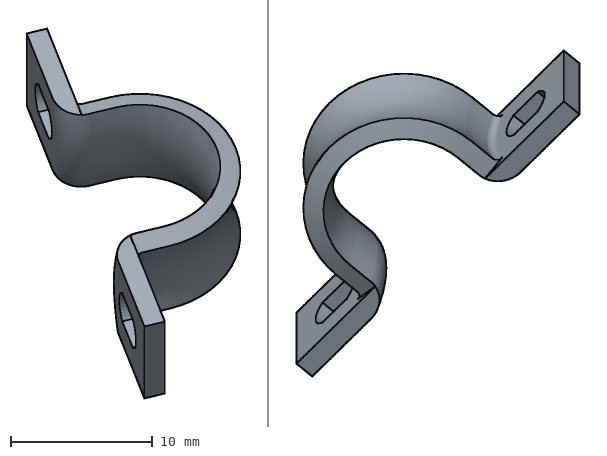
import cadquery as cq
import math

length = 28.0
strip_width = 8.0
thickness = 1.5
waist_radius = 4.98
rim_radius = 5.68
ring_center_y = 4.0
inside_bend_radius = 0.5
outside_bend_radius = inside_bend_radius + thickness
hole_offset = 10.0
hole_diameter = 4.0
hole_height = 3.1

half_width = strip_width / 2
flare = rim_radius - waist_radius
bulge_radius = (half_width**2 + flare**2) / (2 * flare)
bulge_center_x = waist_radius + bulge_radius
rim_angle = math.asin(half_width / bulge_radius)


def bulge_point(radius, angle):
    """Point in XZ on an arc about the bulge centre, with the angle from mid height."""
    return (bulge_center_x - radius * math.cos(angle), radius * math.sin(angle))


def strip_section():
    """Curved strip section on the right side, ending square to its faces."""
    outer_radius = bulge_radius - thickness
    return (
        cq.Workplane("XZ")
        .moveTo(*bulge_point(bulge_radius, -rim_angle))
        .threePointArc(bulge_point(bulge_radius, 0), bulge_point(bulge_radius, rim_angle))
        .lineTo(*bulge_point(outer_radius, rim_angle))
        .threePointArc(bulge_point(outer_radius, 0), bulge_point(outer_radius, -rim_angle))
        .close()
    )


def make_ring():
    """Half-ring turned about the vertical ring axis."""
    ring = strip_section().revolve(180, (0, 0, 0), (0, 1, 0))
    return ring.translate((0, ring_center_y, 0))


def make_trim():
    """Space kept by the trimmed leg: a square-cut ear zone and a wedge behind it."""
    ear_zone = cq.Workplane("XY").box(length / 2, thickness, strip_width, centered=(False, False, True))
    wedge = (
        cq.Workplane("XZ", origin=(0, thickness, 0))
        .polyline([
            bulge_point(bulge_radius + thickness, rim_angle),
            (bulge_center_x, 0),
            bulge_point(bulge_radius + thickness, -rim_angle),
        ])
        .close()
        .extrude(thickness - ring_center_y)
    )
    return ear_zone.union(wedge)


def make_side():
    """Right leg, bend and ear, turned about the bulge axis, trimmed and drilled."""
    leg_outer_x = waist_radius + thickness
    bend_center_x = waist_radius + outside_bend_radius
    bend_center_y = outside_bend_radius
    diagonal = math.sqrt(0.5)
    outside_mid = (
        bend_center_x - outside_bend_radius * diagonal,
        bend_center_y - outside_bend_radius * diagonal,
    )
    inside_mid = (
        bend_center_x - inside_bend_radius * diagonal,
        bend_center_y - inside_bend_radius * diagonal,
    )
    side = (
        cq.Workplane("XY")
        .moveTo(waist_radius, ring_center_y)
        .lineTo(waist_radius, bend_center_y)
        .threePointArc(outside_mid, (bend_center_x, 0))
        .lineTo(bulge_center_x, 0)
        .lineTo(bulge_center_x, thickness)
        .lineTo(bend_center_x, thickness)
        .threePointArc(inside_mid, (leg_outer_x, bend_center_y))
        .lineTo(leg_outer_x, ring_center_y)
        .close()
        .revolve(360, (bulge_center_x, 0, 0), (bulge_center_x, 1, 0))
    )
    hole = (
        cq.Workplane("XZ")
        .center(hole_offset, 0)
        .circle(hole_diameter / 2)
        .extrude(-thickness)
        .intersect(cq.Workplane("XY").box(length, length, hole_height))
    )
    return side.intersect(make_trim()).cut(hole)


right_side = make_side()
left_side = right_side.mirror("YZ")
result = make_ring().union(right_side).union(left_side)